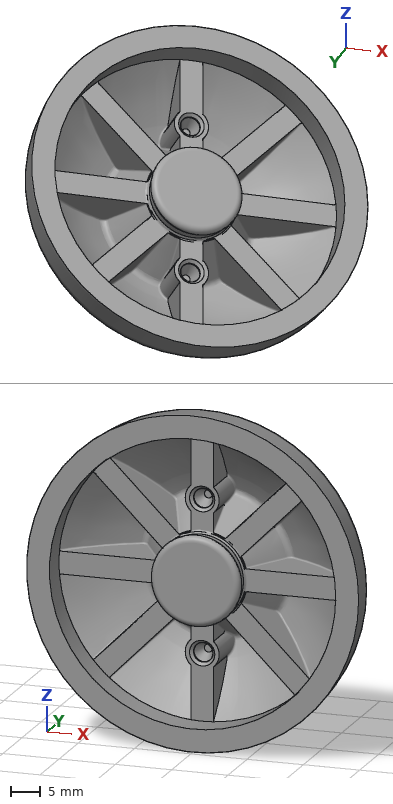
import cadquery as cq
import math


outer_radius = 59 / 2
height = 18.0
lip_height = 0.55
draft_top_radius = 29.1
draft_top_height = 5.0
shoulder_radius = 27.55
shoulder_height = 8.1
dome_edge_radius = 13.4
dome_edge_height = 17.6
dome_arc_radius = 40.1
crown_radius = 12.0

opening_radius = 25.4
spoke_depth = 5.0
core_radius = 7.9
core_angle = math.radians(60.5)
core_slope = math.tan(core_angle)
valley_fillet = 1.0
groove_start = 4.15

hub_radius = 7.95
hub_depth = 1.0
hub_fillet = 1.05
neck_radius = 7.55

spoke_count = 8
spoke_pitch = 360 / spoke_count
spoke_width = 4.0
root_fillet = 0.3

boss_radius = 3.0
boss_spacing = 27.0
hole_radius = 1.7
hole_chamfer = 0.55
hole_straight_depth = 0.8
hole_depth = 3.25
hole_tip_radius = 0.7

chord_r = dome_edge_radius - shoulder_radius
chord_y = dome_edge_height - shoulder_height
chord = math.hypot(chord_r, chord_y)
centre_offset = math.sqrt(dome_arc_radius**2 - (chord / 2) ** 2)
centre_r = (shoulder_radius + dome_edge_radius) / 2 - centre_offset * chord_y / chord
centre_y = (shoulder_height + dome_edge_height) / 2 + centre_offset * chord_r / chord

inner_arc_radius = math.hypot(opening_radius - centre_r, spoke_depth - centre_y)


def dome_point(radius, angle):
    """Point of a dome arc, as distance from the axis and height."""
    return (centre_r + radius * math.cos(angle), centre_y + radius * math.sin(angle))


def dome_angle(r, y):
    return math.atan2(y - centre_y, r - centre_r)


def turned(profile):
    """Full turn of an outline about the Y axis."""
    return profile.close().revolve(360, (0, 0, 0), (0, 1, 0))


def facing_plane(depth):
    """Plane across the axis, extruding towards the crown."""
    return cq.Workplane(cq.Plane((0, depth, 0), (1, 0, 0), (0, 1, 0)))


def outer_solid():
    start = dome_angle(shoulder_radius, shoulder_height)
    end = dome_angle(dome_edge_radius, dome_edge_height)
    dome_middle = dome_point(dome_arc_radius, (start + end) / 2)
    return turned(
        cq.Workplane("XY")
        .lineTo(outer_radius, 0)
        .lineTo(outer_radius, lip_height)
        .lineTo(draft_top_radius, draft_top_height)
        .tangentArcPoint((shoulder_radius, shoulder_height), relative=False)
        .threePointArc(dome_middle, (dome_edge_radius, dome_edge_height))
        .tangentArcPoint((crown_radius, height), relative=False)
        .lineTo(0, height)
    )


def groove():
    """Ring-shaped hollow between the inner dome and the core, with a rounded valley."""
    start_r = centre_r + math.sqrt(inner_arc_radius**2 - (groove_start - centre_y) ** 2)
    start = dome_angle(start_r, groove_start)
    end = math.acos(-centre_r / inner_arc_radius)
    dome = turned(
        cq.Workplane("XY")
        .moveTo(0, groove_start)
        .lineTo(start_r, groove_start)
        .threePointArc(dome_point(inner_arc_radius, (start + end) / 2), dome_point(inner_arc_radius, end))
    )
    tip = spoke_depth - core_radius * core_slope
    core = turned(
        cq.Workplane("XY")
        .moveTo(0, tip)
        .lineTo((height - tip) / core_slope, height)
        .lineTo(0, height)
    )
    return dome.cut(core).faces(">Y").edges(">Y").fillet(valley_fillet)


def spoke(angle):
    """Straight bar across the whole wheel, so that it makes two opposite spokes."""
    bar = facing_plane(0).transformed(rotate=(0, 0, angle))
    return bar.rect(2 * outer_radius, spoke_width).extrude(height)


def bosses():
    centres = [(0, boss_spacing / 2), (0, -boss_spacing / 2)]
    return facing_plane(0).pushPoints(centres).circle(boss_radius).extrude(height)


def has_root_fillet(edge):
    """True for the edges round the floor of a window, except the dome side of a screw spoke."""
    middle = edge.positionAt(0.5)
    on_start_face = edge.BoundingBox().ymax < spoke_depth
    between_walls = edge.geomType() == "LINE"
    on_screw_spoke = abs(middle.x) < (spoke_width / 2 + boss_radius) / 2
    outside_boss = abs(middle.z) > boss_spacing / 2 + boss_radius
    return not (on_start_face or between_walls or (on_screw_spoke and outside_boss))


def windows():
    """Hollows between the spokes, with rounded floor edges, cut off at the spoke plane."""
    hollows = groove().cut(bosses())
    for i in range(spoke_count // 2):
        hollows = hollows.cut(spoke(i * spoke_pitch))
    below_spoke_plane = facing_plane(spoke_depth).circle(outer_radius).extrude(height)
    rounded = []
    for hollow in hollows.solids().vals():
        floor_edges = [edge for edge in hollow.Edges() if has_root_fillet(edge)]
        window = cq.Workplane(hollow.fillet(root_fillet, floor_edges))
        rounded.append(window.intersect(below_spoke_plane))
    return rounded


def hub():
    """Knob with a rounded rim over a narrower neck and a conical foot, filleted onto the spokes."""
    rim_centre_r = hub_radius - hub_fillet
    rim_centre_y = hub_depth + hub_fillet
    neck_drop = math.sqrt(hub_fillet**2 - (neck_radius - rim_centre_r) ** 2)
    neck_foot = spoke_depth - (core_radius - neck_radius) * core_slope
    reach = root_fillet * math.tan(core_angle / 2)
    return turned(
        cq.Workplane("XY")
        .moveTo(0, hub_depth)
        .lineTo(rim_centre_r, hub_depth)
        .threePointArc((hub_radius, rim_centre_y), (neck_radius, rim_centre_y + neck_drop))
        .lineTo(neck_radius, neck_foot)
        .lineTo(core_radius - reach * math.cos(core_angle), spoke_depth - reach * math.sin(core_angle))
        .tangentArcPoint((core_radius + reach, spoke_depth), relative=False)
        .lineTo(0, spoke_depth)
    )


def screw_hole():
    """Blind hole on the Y axis: chamfered mouth, straight bore and conical end with a flat tip."""
    return turned(
        cq.Workplane("XY")
        .moveTo(0, spoke_depth)
        .lineTo(hole_radius + hole_chamfer, spoke_depth)
        .lineTo(hole_radius, spoke_depth + hole_chamfer)
        .lineTo(hole_radius, spoke_depth + hole_straight_depth)
        .lineTo(hole_tip_radius, spoke_depth + hole_depth)
        .lineTo(0, spoke_depth + hole_depth)
    )


opening = facing_plane(0).circle(opening_radius).extrude(spoke_depth)
result = outer_solid().cut(opening)
for window in windows():
    result = result.cut(window)
result = result.union(hub())
for side in (-1, 1):
    result = result.cut(screw_hole().translate((0, 0, side * boss_spacing / 2)))